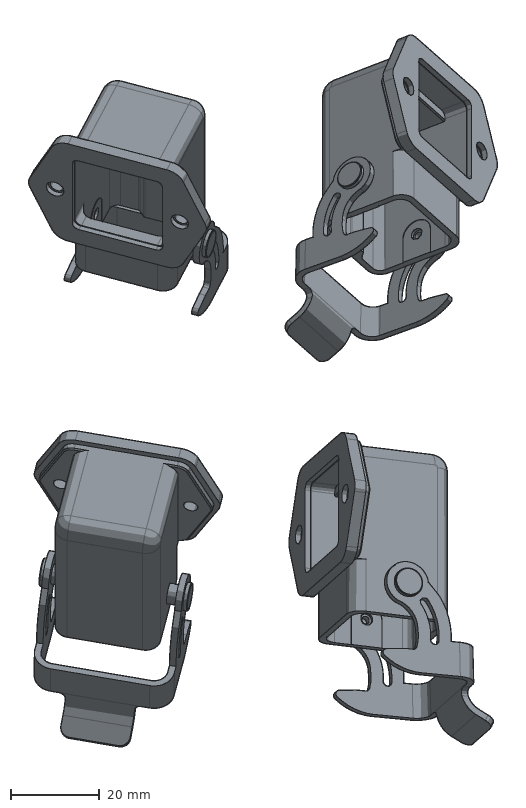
import cadquery as cq
import math


flange_thickness = 2.7
flange_width = 42.8
flange_half_height = 15.35
flange_centre_z = 26.3
flange_slant_angle = 24.6
flange_tip_radius = 3.4
flange_corner_radius = 4.4
step_inset = 1.4
step_back = 4.2
step_chamfer = 0.3
hole_spacing = 29.95
hole_diameter = 3.25
counterbore_diameter = 4.2
counterbore_depth = 1.3

housing_half_width = 12.1
housing_height = flange_centre_z + flange_half_height - step_inset
housing_back = 26.7
wall = 1.45
side_radius = 3.45
back_top_radius = 4.0
cavity_half_width = housing_half_width - wall
cavity_height = 34.75
cavity_radius = side_radius - wall
cavity_front_radius = 2.9
ceiling_chamfer = 0.3

window_size = 21.7
window_recess_depth = 1.3
window_radius = 1.5
window_inset = 0.2
window_depth = flange_thickness + wall + cavity_front_radius

rib_base_half_width = 4.15
rib_top_half_width = 2.4
rib_height = 1.6
rib_edge_radius = 0.6

pivot_y = 14.65
pivot_z = 6.5
pin_radius = 2.35
pin_head_radius = 3.25
pin_head_thickness = 1.0
pin_head_chamfer = 0.2
pad_radius = 3.7
pad_height = 0.1
pin_bore_radius = 1.4
pin_bore_depth = 0.75
pin_core_radius = 0.9
pin_core_depth = 2.55

lever_tilt = 1.4
lever_half_width = 16.05
lever_thickness = 1.5
lever_bend_radius = 4.65
lever_back = 16.75
plate_top = -12.95
plate_bottom = -21.1
knuckle_radius = 5.05
slot_radius = 1.0

knuckle_back = (5.0, 0.65)
knuckle_front = (-2.55, -4.35)
arm_back_start = (7.5, -2.35)
arm_back_middle = (9.5, -6.75)
arm_back_end = (10.15, plate_top)
hook_start = (2.4, plate_bottom)
hook_belly = (-2.15, -20.15)
hook_tip_lower = (-6.0, -17.8)
hook_tip = (-6.3, -16.8)
hook_tip_upper = (-5.55, -16.1)
hook_top_front = (-1.35, -15.7)
hook_top_back = (0.95, -15.7)
hook_root_middle = (1.6, -15.35)
hook_root_end = (1.9, -14.65)
arm_front_lower = (2.2, -12.75)
arm_front_middle = (2.15, -10.85)
arm_front_upper = (0.6, -6.4)
slot_bottom = (6.2, -13.0)
slot_middle = (5.8, -8.3)
slot_top = (3.95, -4.2)

tab_half_width = 7.95
tab_bend_radius = 5.8
tab_bend_angle = 62.3
tab_length = 4.7
tab_corner_radius = 2.3
tab_root_radius = 1.6


def box(x_half, y_min, y_max, z_min, z_max):
    """Box symmetric about X = 0."""
    size = (2 * x_half, y_max - y_min, z_max - z_min)
    return cq.Workplane("XY").box(*size, centered=(True, False, False)).translate((0, y_min, z_min))


def make_housing():
    """Rounded hood; its front corners are rounded only below the flange step."""
    step_bottom = flange_centre_z - flange_half_height + step_inset
    upper = box(housing_half_width, flange_thickness, housing_back, step_bottom, housing_height)
    upper = upper.edges(">Y and >Z").fillet(back_top_radius)
    upper = upper.edges("(>X or <X) and (not <Y) and (not <Z)").fillet(side_radius)
    lower = box(housing_half_width, flange_thickness, housing_back, 0, step_bottom)
    lower = lower.edges("|Z").fillet(side_radius)
    return upper.union(lower)


def flange_outline(inset, y_start, depth):
    """Hexagonal plate with rounded corners, all sides moved inward by the inset."""
    slant = math.radians(flange_slant_angle)
    tip_radius = flange_tip_radius - inset
    half_height = flange_half_height - inset
    tip_x = flange_width / 2 - inset + tip_radius * (1 / math.cos(slant) - 1)
    corner_x = tip_x - half_height * math.tan(slant)
    points = [
        (tip_x, 0), (corner_x, half_height), (-corner_x, half_height),
        (-tip_x, 0), (-corner_x, -half_height), (corner_x, -half_height),
    ]
    plate = cq.Workplane("XZ").polyline(points).close().extrude(-depth)
    plate = plate.edges("|Y and (>X or <X)").fillet(tip_radius)
    plate = plate.edges("|Y and (>Z or <Z)").fillet(flange_corner_radius - inset)
    return plate.translate((0, y_start, flange_centre_z))


def make_flange():
    step = flange_outline(step_inset, flange_thickness, step_back - flange_thickness)
    step = step.faces(">Y").edges().chamfer(step_chamfer)
    return flange_outline(0, 0, flange_thickness).union(step)


def make_cavity():
    """Inside space of the hood, open at the bottom, with the rib left standing on the back wall."""
    back = housing_back - wall
    cavity = box(cavity_half_width, flange_thickness + wall, back, 0, cavity_height)
    cavity = cavity.edges("|Z and >Y").fillet(cavity_radius)
    cavity = cavity.edges("|Z and <Y").fillet(cavity_front_radius)
    rib_top = back - rib_height
    rib = (
        cq.Workplane("XY")
        .polyline([
            (-rib_base_half_width, back), (-rib_top_half_width, rib_top),
            (rib_top_half_width, rib_top), (rib_base_half_width, back),
        ])
        .close().extrude(cavity_height)
    )
    margin = 0.05
    rib_zone = cq.selectors.BoxSelector(
        (-rib_base_half_width - margin, rib_top - margin, 0),
        (rib_base_half_width + margin, back + margin, cavity_height),
    )
    return cavity.cut(rib).edges("|Z").edges(rib_zone).fillet(rib_edge_radius)


def make_window():
    """Shallow recess in the flange face, then a slightly smaller opening into the cavity."""
    half = window_size / 2
    bottom = flange_centre_z - half
    recess = box(half, 0, window_recess_depth, bottom, bottom + window_size)
    recess = recess.edges("|Y").fillet(window_radius)
    opening = box(
        cavity_half_width, 0, window_depth, bottom + window_inset, bottom + window_size - window_inset
    )
    return recess.union(opening.edges("|Y").fillet(window_radius))


def make_ceiling_chamfer():
    """Wedge that bevels the edge where the cavity ceiling meets the end of the window."""
    return (
        cq.Workplane("YZ")
        .moveTo(window_depth, cavity_height)
        .lineTo(window_depth + ceiling_chamfer, cavity_height)
        .lineTo(window_depth, cavity_height + ceiling_chamfer)
        .close()
        .extrude(cavity_half_width, both=True)
    )


def make_flange_holes():
    def bore(diameter, depth):
        return (
            cq.Workplane("XZ", origin=(0, 0, flange_centre_z))
            .pushPoints([(-hole_spacing / 2, 0), (hole_spacing / 2, 0)])
            .circle(diameter / 2).extrude(-depth)
        )
    return bore(hole_diameter, step_back).union(bore(counterbore_diameter, counterbore_depth))


def along_x(radius, x_start, length):
    """Cylinder on the pivot axis, pointing toward +X."""
    return cq.Workplane("YZ", origin=(x_start, pivot_y, pivot_z)).circle(radius).extrude(length)


def make_pin():
    """Pivot pin on the +X side, with its inner pad, head and blind bore."""
    inner = cavity_half_width - pad_height
    shaft = along_x(pin_radius, cavity_half_width, lever_half_width - cavity_half_width)
    head = along_x(pin_head_radius, lever_half_width, pin_head_thickness)
    head = head.faces(">X").edges().chamfer(pin_head_chamfer)
    pad_depth = pad_height + wall / 2
    pad = along_x(pad_radius, inner, pad_depth).union(
        cq.Workplane("YZ", origin=(inner, pivot_y, 0))
        .rect(2 * pad_radius, pivot_z, centered=(True, False)).extrude(pad_depth)
    )
    bore = along_x(pin_bore_radius, inner, pin_bore_depth)
    core = along_x(pin_core_radius, inner, pin_core_depth)
    return shaft.union(head).union(pad), bore.union(core)


def make_lever_profile():
    """Side shape of the lever: knuckle, curved arm, plate end and hook."""
    knuckle_diagonal = knuckle_radius * math.sqrt(0.5)
    profile = (
        cq.Workplane("YZ", origin=(-lever_half_width, 0, 0))
        .moveTo(*arm_back_start)
        .threePointArc(arm_back_middle, arm_back_end)
        .lineTo(lever_back, plate_top)
        .lineTo(lever_back, plate_bottom)
        .lineTo(*hook_start)
        .threePointArc(hook_belly, hook_tip_lower)
        .threePointArc(hook_tip, hook_tip_upper)
        .lineTo(*hook_top_front)
        .lineTo(*hook_top_back)
        .threePointArc(hook_root_middle, hook_root_end)
        .threePointArc(arm_front_lower, arm_front_middle)
        .threePointArc(arm_front_upper, knuckle_front)
        .threePointArc((-knuckle_diagonal, knuckle_diagonal), knuckle_back)
        .close()
        .extrude(2 * lever_half_width)
    )
    slot_path = cq.Workplane("YZ").moveTo(*slot_bottom).threePointArc(slot_middle, slot_top)
    slot = slot_path.offset2D(slot_radius).extrude(lever_half_width, both=True)
    return profile.cut(slot)


def make_lever_band():
    """U-shaped strip, seen along Z, from which the lever is bent."""
    front = -2 * knuckle_radius
    z_range = (2 * plate_bottom, 2 * knuckle_radius)
    outer = box(lever_half_width, front, lever_back, *z_range)
    outer = outer.edges("|Z and >Y").fillet(lever_bend_radius)
    inner = box(lever_half_width - lever_thickness, front, lever_back - lever_thickness, *z_range)
    inner = inner.edges("|Z and >Y").fillet(lever_bend_radius - lever_thickness)
    return outer.cut(inner)


def make_tab():
    """Finger tab that drops from the plate and bends outward."""
    centre_y = lever_back - lever_thickness / 2 + tab_bend_radius
    turn = math.radians(tab_bend_angle)

    def on_bend(radius, angle, beyond=0.0):
        y = centre_y - radius * math.cos(angle) + beyond * math.sin(angle)
        z = plate_bottom - radius * math.sin(angle) - beyond * math.cos(angle)
        return (y, z)

    tight = tab_bend_radius - lever_thickness / 2
    wide = tab_bend_radius + lever_thickness / 2
    sheet = (
        cq.Workplane("YZ")
        .moveTo(*on_bend(wide, 0))
        .threePointArc(on_bend(wide, turn / 2), on_bend(wide, turn))
        .lineTo(*on_bend(wide, turn, tab_length))
        .lineTo(*on_bend(tight, turn, tab_length))
        .lineTo(*on_bend(tight, turn))
        .threePointArc(on_bend(tight, turn / 2), on_bend(tight, 0))
        .close()
        .extrude(tab_half_width + tab_root_radius, both=True)
    )

    root_z = plate_bottom - tab_root_radius
    root_x = tab_half_width + tab_root_radius
    root_sag = tab_root_radius * (1 - math.sqrt(0.5))
    outline = (
        cq.Workplane("XZ")
        .moveTo(-root_x, plate_bottom)
        .threePointArc((-tab_half_width - root_sag, plate_bottom - root_sag), (-tab_half_width, root_z))
        .lineTo(-tab_half_width, 2 * plate_bottom)
        .lineTo(tab_half_width, 2 * plate_bottom)
        .lineTo(tab_half_width, root_z)
        .threePointArc((tab_half_width + root_sag, plate_bottom - root_sag), (root_x, plate_bottom))
        .close()
        .extrude(-2 * lever_back)
    )
    tab = sheet.intersect(outline)
    return tab.faces(">Y").edges("not |X").edges(">X or <X").fillet(tab_corner_radius)


def make_lever():
    lever = make_lever_profile().intersect(make_lever_band()).union(make_tab())
    return lever.rotate((0, 0, 0), (1, 0, 0), lever_tilt).translate((0, pivot_y, pivot_z))


pin, pin_bore = make_pin()
result = make_housing().union(make_flange())
for opening in (make_cavity(), make_window(), make_ceiling_chamfer(), make_flange_holes()):
    result = result.cut(opening)
result = result.union(make_lever())
for side_pin in (pin, pin.mirror("YZ")):
    result = result.union(side_pin)
for side_bore in (pin_bore, pin_bore.mirror("YZ")):
    result = result.cut(side_bore)